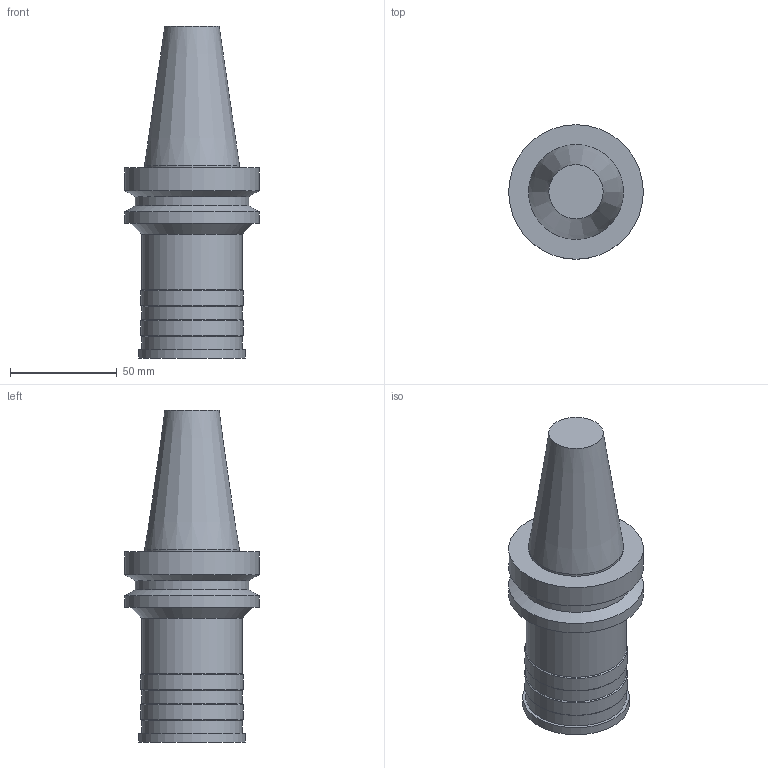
import cadquery as cq
import math


gauge_diameter = 44.45
taper_length = 65.4
taper_ratio = 7 / 24
taper_tip_diameter = gauge_diameter - taper_ratio * taper_length

flange_diameter = 63.0
flange_top_z = -1.0
flange_bottom_z = -27.0
groove_diameter = 53.0
groove_center_z = -16.6
groove_mouth_width = 10.0
groove_flank_angle = 30.0
groove_depth = (flange_diameter - groove_diameter) / 2
groove_flank_height = groove_depth * math.tan(math.radians(groove_flank_angle))
groove_floor_width = groove_mouth_width - 2 * groove_flank_height

body_diameter = 47.0
body_bottom_z = -90.0
shoulder_height = 5.0
shoulder_diameter = body_diameter + 2 * shoulder_height

collar_diameter = 50.0
collar_height = 4.0

ring_count = 2
ring_diameter = 48.0
ring_height = 8.0
ring_gap = 6.0
ring_edge_height = (ring_diameter - body_diameter) / 2


def cylinder(diameter, bottom_z, top_z):
    """Upright cylinder between two heights."""
    return cq.Workplane("XY").workplane(offset=bottom_z).circle(diameter / 2).extrude(top_z - bottom_z)


def revolve_profile(points):
    """Revolve (diameter, z) points, closed along the Z axis, into a solid."""
    outline = [(0, points[0][1])]
    outline += [(diameter / 2, z) for diameter, z in points]
    outline += [(0, points[-1][1])]
    return cq.Workplane("XZ").polyline(outline).close().revolve(360, (0, 0), (0, 1))


def make_taper_shank():
    """Taper cone on a short straight neck that reaches down to the flange."""
    return revolve_profile([
        (gauge_diameter, flange_top_z),
        (gauge_diameter, 0),
        (taper_tip_diameter, taper_length),
    ])


def make_flange():
    """Flange disc with the gripper groove around its rim."""
    half_mouth = groove_mouth_width / 2
    half_floor = groove_floor_width / 2
    return revolve_profile([
        (flange_diameter, flange_bottom_z),
        (flange_diameter, groove_center_z - half_mouth),
        (groove_diameter, groove_center_z - half_floor),
        (groove_diameter, groove_center_z + half_floor),
        (flange_diameter, groove_center_z + half_mouth),
        (flange_diameter, flange_top_z),
    ])


def make_body():
    """Plain cylinder that widens into the shoulder at the flange."""
    return revolve_profile([
        (body_diameter, body_bottom_z),
        (body_diameter, flange_bottom_z - shoulder_height),
        (shoulder_diameter, flange_bottom_z),
    ])


def make_ring(bottom_z):
    """Raised ring whose edges slope down to the body surface."""
    top_z = bottom_z + ring_height
    return revolve_profile([
        (body_diameter, bottom_z),
        (ring_diameter, bottom_z + ring_edge_height),
        (ring_diameter, top_z - ring_edge_height),
        (body_diameter, top_z),
    ])


collar_top_z = body_bottom_z + collar_height

result = make_body().union(make_flange()).union(make_taper_shank())
result = result.union(cylinder(collar_diameter, body_bottom_z, collar_top_z))
for index in range(ring_count):
    ring_bottom_z = collar_top_z + ring_gap + index * (ring_height + ring_gap)
    result = result.union(make_ring(ring_bottom_z))